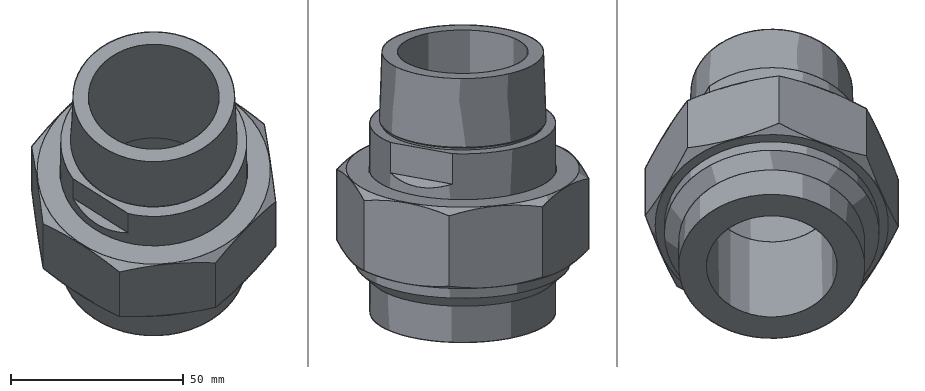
import cadquery as cq
import math


total_height = 80.0
bore_radius = 37.9 / 2
pipe_radius = 54.0 / 2
thread_radius = 62.3 / 2

nut_bottom = 19.0
nut_top = 44.1
nut_across_flats = 68.0
nut_sides = 8
nut_opening_radius = 54.5 / 2
nut_lip = 4.8
nut_face_radius = 67.7 / 2
nut_chamfer_angle = 30.0
lip_bottom = nut_top - nut_lip

tail_pipe_top = 11.2
tail_cone_top = 15.1
joint_height = 34.4

collar_top = 58.1
spigot_bottom = 59.1
spigot_top_radius = 47.0 / 2
spigot_bottom_radius = 48.4 / 2
relief_radius = 47.1 / 2
relief_top = 58.6
wrench_flat_width = 50.0
wrench_flat_bottom = 48.7


def revolve_profile(points):
    """Turn a closed outline of (radius, height) points about the Z axis."""
    return cq.Workplane("XZ").polyline(points).close().revolve(360, (0, 0), (0, 1))


def make_tailpiece():
    """Plain pipe that widens through a cone to the threaded end inside the nut."""
    return revolve_profile([
        (bore_radius, 0),
        (pipe_radius, 0),
        (pipe_radius, tail_pipe_top),
        (thread_radius, tail_cone_top),
        (thread_radius, joint_height),
        (bore_radius, joint_height),
    ])


def make_wrench_cutter():
    """Slab outside the +Y wrench flat, with a 45 degree run-out at its lower end."""
    flat_offset = wrench_flat_width / 2
    outer_offset = thread_radius
    run_out = outer_offset - flat_offset
    return (
        cq.Workplane("YZ")
        .polyline([
            (flat_offset, collar_top),
            (flat_offset, wrench_flat_bottom),
            (outer_offset, wrench_flat_bottom - run_out),
            (outer_offset, collar_top),
        ])
        .close()
        .extrude(pipe_radius, both=True)
    )


def make_sleeve():
    """Tapered spigot, bevelled into a relief groove above a collar, held under the nut lip by a flange."""
    sleeve = revolve_profile([
        (bore_radius, joint_height),
        (thread_radius, joint_height),
        (thread_radius, lip_bottom),
        (pipe_radius, lip_bottom),
        (pipe_radius, collar_top),
        (relief_radius, collar_top),
        (relief_radius, relief_top),
        (spigot_bottom_radius, spigot_bottom),
        (spigot_top_radius, total_height),
        (bore_radius, total_height),
    ])
    wrench_cutter = make_wrench_cutter()
    return sleeve.cut(wrench_cutter).cut(wrench_cutter.mirror("XZ"))


def make_nut():
    """Octagonal nut with conical corner chamfers and an inner lip at the top."""
    half_side_angle = math.pi / nut_sides
    corner_radius = nut_across_flats / 2 / math.cos(half_side_angle)
    chamfer_height = (corner_radius - nut_face_radius) * math.tan(math.radians(nut_chamfer_angle))
    octagon = (
        cq.Workplane("XY", origin=(0, 0, nut_bottom))
        .polygon(nut_sides, 2 * corner_radius)
        .extrude(nut_top - nut_bottom)
        .rotate((0, 0, 0), (0, 0, 1), math.degrees(half_side_angle))
    )
    turned_blank = revolve_profile([
        (thread_radius, nut_bottom),
        (nut_face_radius, nut_bottom),
        (corner_radius, nut_bottom + chamfer_height),
        (corner_radius, nut_top - chamfer_height),
        (nut_face_radius, nut_top),
        (nut_opening_radius, nut_top),
        (nut_opening_radius, lip_bottom),
        (thread_radius, lip_bottom),
    ])
    return octagon.intersect(turned_blank)


tailpiece = make_tailpiece()
sleeve = make_sleeve()
nut = make_nut()

result = cq.Compound.makeCompound([tailpiece.val(), sleeve.val(), nut.val()])